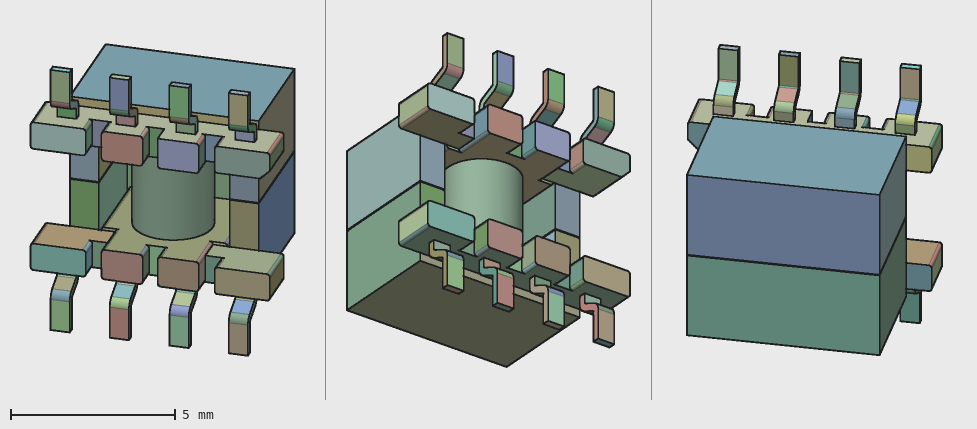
import cadquery as cq
import math


CORE_WIDTH = 6.0
CORE_DEPTH = 3.8
CORE_HALF_HEIGHT = 2.78
CORE_GAP = 0.03
WINDOW_HALF_WIDTH = 2.08
WINDOW_HALF_HEIGHT = 1.9

BARREL_RADIUS = 1.26
BARREL_PROUD = 0.3
FLANGE_HALF_WIDTH = 2.0
FLANGE_INNER_Z = 1.5

RAIL_WIDTH = 7.6
RAIL_INNER_Z = 1.6
RAIL_OUTER_Z = 2.5
RAIL_DEPTH = 1.5
SLOT_DEPTH = 0.7
MIDDLE_TOOTH_X = (0.24, 1.545)
END_TOOTH_INNER_X = 2.045
EDGE_ROUND = 0.1
CORNER_CHAMFER = 0.3

PIN_X = (-2.83, -0.95, 0.95, 2.83)
PIN_WIDTH = 0.61
PIN_THICKNESS = 0.25
PIN_EMBED = 0.5
PIN_TIP_Z = 4.4
PIN_FRONT_PROUD = 0.1
PIN_OFFSET = 0.7
PIN_BEND_START_Z = 2.82
PIN_BEND_ANGLE = math.radians(66.5)
PIN_BEND_RADIUS = 0.175

CORE_FRONT_Y = BARREL_PROUD - BARREL_RADIUS
CORE_BACK_Y = CORE_FRONT_Y + CORE_DEPTH
RAIL_FRONT_Y = CORE_FRONT_Y - RAIL_DEPTH
SLOT_BACK_Y = RAIL_FRONT_Y + SLOT_DEPTH
PIN_FOOT_Y = RAIL_FRONT_Y - PIN_FRONT_PROUD + PIN_THICKNESS / 2


def block(x_range, y_range, z_range):
    """Box spanning the given ranges."""
    size = [high - low for low, high in (x_range, y_range, z_range)]
    corner = (x_range[0], y_range[0], z_range[0])
    return cq.Workplane("XY").box(*size, centered=False).translate(corner)


def make_core():
    half_width = CORE_WIDTH / 2
    y_range = (CORE_FRONT_Y, CORE_BACK_Y)
    body = block((-half_width, half_width), y_range, (-CORE_HALF_HEIGHT, CORE_HALF_HEIGHT))
    gap = block((-half_width, half_width), y_range, (-CORE_GAP / 2, CORE_GAP / 2))
    window = block(
        (-WINDOW_HALF_WIDTH, WINDOW_HALF_WIDTH),
        (CORE_FRONT_Y, WINDOW_HALF_WIDTH),
        (-WINDOW_HALF_HEIGHT, WINDOW_HALF_HEIGHT),
    )
    return body.cut(window).cut(gap)


def make_barrel():
    barrel = cq.Workplane("XY").workplane(offset=-FLANGE_INNER_Z).circle(BARREL_RADIUS)
    return barrel.extrude(2 * FLANGE_INNER_Z)


def make_flange_and_rail():
    """Upper flange with its rail, symmetric about the YZ plane."""
    half_width = RAIL_WIDTH / 2
    rail_z = (RAIL_INNER_Z, RAIL_OUTER_Z)
    deep_z = (FLANGE_INNER_Z, RAIL_OUTER_Z)
    bar_y = (SLOT_BACK_Y, CORE_FRONT_Y)
    tooth_y = (RAIL_FRONT_Y, SLOT_BACK_Y)

    bar = block((-half_width, half_width), bar_y, rail_z).edges("|Y").fillet(EDGE_ROUND)
    pad_x = (-MIDDLE_TOOTH_X[1], MIDDLE_TOOTH_X[1])
    pad = block(pad_x, bar_y, deep_z).edges("|Y and <Z").fillet(EDGE_ROUND)
    flange_x = (-FLANGE_HALF_WIDTH, FLANGE_HALF_WIDTH)
    flange_y = (CORE_FRONT_Y, FLANGE_HALF_WIDTH)
    flange = block(flange_x, flange_y, (FLANGE_INNER_Z, WINDOW_HALF_HEIGHT))
    flange = flange.edges("|Y and <Z").fillet(EDGE_ROUND)
    rail = bar.union(pad).union(flange)

    end_tooth = block((END_TOOTH_INNER_X, half_width), tooth_y, rail_z)
    middle_tooth = block(MIDDLE_TOOTH_X, tooth_y, deep_z)
    for tooth in (end_tooth, middle_tooth):
        tooth = tooth.edges("|Y").fillet(EDGE_ROUND)
        rail = rail.union(tooth).union(tooth.mirror("YZ"))
    return rail


def chamfer_rail_corner(rail):
    """Cut the lower +X corner of the upper rail along its whole depth."""
    half_width = RAIL_WIDTH / 2
    corner = (
        cq.Workplane("XZ", origin=(0, CORE_FRONT_Y, 0))
        .moveTo(half_width, RAIL_INNER_Z)
        .lineTo(half_width, RAIL_INNER_Z + CORNER_CHAMFER)
        .lineTo(half_width - CORNER_CHAMFER, RAIL_INNER_Z)
        .close()
        .extrude(RAIL_DEPTH)
    )
    return rail.cut(corner)


def square_tooth_edge(rail):
    """Fill out the one middle tooth edge of the upper rail that is left sharp."""
    inner_x = MIDDLE_TOOTH_X[0]
    edge_x = (inner_x, inner_x + EDGE_ROUND)
    edge_z = (RAIL_OUTER_Z - EDGE_ROUND, RAIL_OUTER_Z)
    return rail.union(block(edge_x, (RAIL_FRONT_Y, SLOT_BACK_Y), edge_z))


def make_pin(x):
    """Upper pin: a flat strip rising from the rail, stepping forward, then rising to its tip."""
    root_y = PIN_FOOT_Y + PIN_OFFSET
    root_z = RAIL_OUTER_Z - PIN_EMBED
    bend_y = PIN_BEND_RADIUS * (1 - math.cos(PIN_BEND_ANGLE))
    bend_z = PIN_BEND_RADIUS * math.sin(PIN_BEND_ANGLE)
    slope_y = PIN_OFFSET - 2 * bend_y
    slope_z = slope_y / math.tan(PIN_BEND_ANGLE)
    slope_start_z = PIN_BEND_START_Z + bend_z
    slope_end_z = slope_start_z + slope_z
    path = (
        cq.Workplane("YZ", origin=(x, 0, 0))
        .moveTo(root_y, root_z)
        .lineTo(root_y, PIN_BEND_START_Z)
        .tangentArcPoint((root_y - bend_y, slope_start_z), relative=False)
        .lineTo(PIN_FOOT_Y + bend_y, slope_end_z)
        .tangentArcPoint((PIN_FOOT_Y, slope_end_z + bend_z), relative=False)
        .lineTo(PIN_FOOT_Y, PIN_TIP_Z)
    )
    section = cq.Workplane("XY", origin=(x, root_y, root_z)).rect(PIN_WIDTH, PIN_THICKNESS)
    return section.sweep(path)


rail = make_flange_and_rail()
upper_rail = square_tooth_edge(chamfer_rail_corner(rail))
lower_rail = rail.mirror("XY")
result = make_core().union(make_barrel()).union(upper_rail).union(lower_rail)
for pin_x in PIN_X:
    pin = make_pin(pin_x)
    result = result.union(pin).union(pin.mirror("XY"))